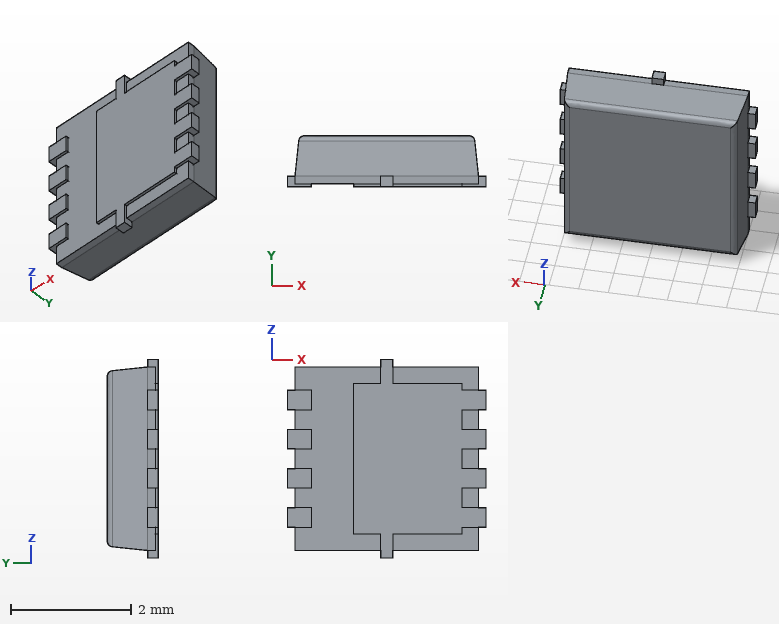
import cadquery as cq
import math

OVERALL_WIDTH = 3.3
OVERALL_HEIGHT = 0.85

LEAD_COUNT = 4
LEAD_PITCH = 0.65
LEAD_WIDTH = LEAD_PITCH / 2
LEAD_LENGTH = 0.4
FRAME_THICKNESS = 0.18
PAD_LEFT = -0.55
TIE_BAR_WIDTH = 0.2

HOUSING_WIDTH = 3.05
STANDOFF = 0.05
DRAFT_ANGLE = 6
TOP_FILLET = 0.1

FRAME_EDGE = OVERALL_WIDTH / 2
PAD_RIGHT = FRAME_EDGE - LEAD_LENGTH
PAD_HALF_HEIGHT = PAD_RIGHT
LEAD_CENTRES_Z = [(i - (LEAD_COUNT - 1) / 2) * LEAD_PITCH for i in range(LEAD_COUNT)]
DRAFT_HEIGHT = OVERALL_HEIGHT - FRAME_THICKNESS
HOUSING_TOP_WIDTH = HOUSING_WIDTH - 2 * DRAFT_HEIGHT * math.tan(math.radians(DRAFT_ANGLE))


def frame_plate(x_min, x_max, z_min, z_max):
    """Rectangular piece of the lead frame, with its solder face on Y = 0."""
    size_x = x_max - x_min
    size_z = z_max - z_min
    plate = cq.Workplane("XY").box(size_x, FRAME_THICKNESS, size_z, centered=False)
    return plate.translate((x_min, 0, z_min))


def make_source_lead(centre_z):
    """Separate rectangular lead on the -X side."""
    half_width = LEAD_WIDTH / 2
    return frame_plate(-FRAME_EDGE, LEAD_LENGTH - FRAME_EDGE, centre_z - half_width, centre_z + half_width)


def make_drain_pad():
    """Thermal pad with its four +X leads and the tie bar that crosses it along Z."""
    half_lead = LEAD_WIDTH / 2
    half_tie = TIE_BAR_WIDTH / 2
    pad = frame_plate(PAD_LEFT, PAD_RIGHT, -PAD_HALF_HEIGHT, PAD_HALF_HEIGHT)
    pad = pad.union(frame_plate(-half_tie, half_tie, -FRAME_EDGE, FRAME_EDGE))
    for centre_z in LEAD_CENTRES_Z:
        pad = pad.union(frame_plate(0, FRAME_EDGE, centre_z - half_lead, centre_z + half_lead))
    return pad


def make_housing(frame_parts):
    """Square moulding: straight rim beside the frame, drafted block above, frame pockets cut out."""
    mould_plane = cq.Plane(origin=(0, 0, 0), xDir=(1, 0, 0), normal=(0, 1, 0))
    rim = (
        cq.Workplane(mould_plane)
        .workplane(offset=STANDOFF)
        .rect(HOUSING_WIDTH, HOUSING_WIDTH)
        .extrude(FRAME_THICKNESS - STANDOFF)
    )
    block = (
        cq.Workplane(mould_plane)
        .workplane(offset=FRAME_THICKNESS)
        .rect(HOUSING_WIDTH, HOUSING_WIDTH)
        .workplane(offset=DRAFT_HEIGHT)
        .rect(HOUSING_TOP_WIDTH, HOUSING_TOP_WIDTH)
        .loft(ruled=True)
        .faces(">Y")
        .edges()
        .fillet(TOP_FILLET)
    )
    housing = block.union(rim)
    for part in frame_parts:
        housing = housing.cut(part)
    return housing


source_leads = [make_source_lead(centre_z) for centre_z in LEAD_CENTRES_Z]
drain_pad = make_drain_pad()
housing = make_housing([*source_leads, drain_pad])

result = cq.Compound.makeCompound(
    [housing.val(), drain_pad.val(), *[lead.val() for lead in source_leads]]
)